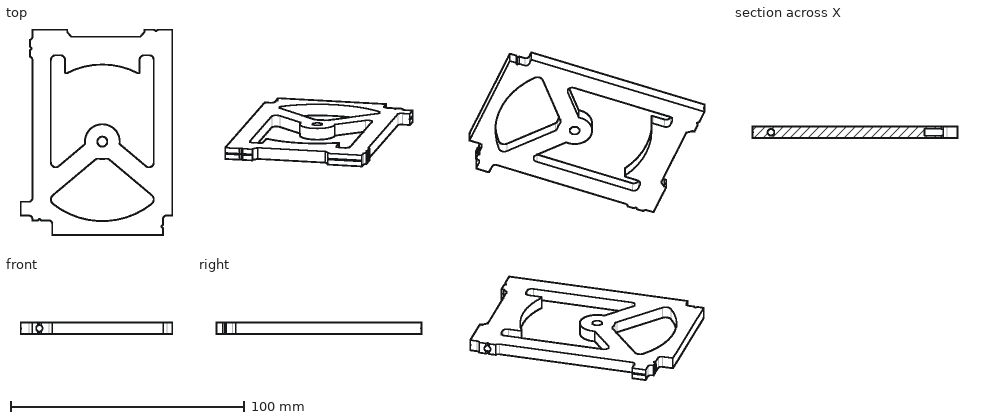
import cadquery as cq
import math

THICKNESS = 5.0
MID_HEIGHT = THICKNESS / 2

BODY_HALF_WIDTH = 30.0
BODY_LEFT = -BODY_HALF_WIDTH
BODY_RIGHT = BODY_HALF_WIDTH
TOP_Y = 48.0
BOTTOM_Y = -40.0
COVE_RADIUS = 1.5

PAD_HEIGHT = 1.0
PAD_Y = 40.0
PAD_HALF_LENGTH = 5.0

TAB_LEFT = -35.0
TAB_TOP = -25.7
TAB_BOTTOM = -31.7
LEFT_SHOULDER_Y = -33.8
RIGHT_SHOULDER_Y = TAB_BOTTOM
BLOCK_LEFT = -21.5
BLOCK_RIGHT = 26.0

NOTCH_LEFT = -15.0
NOTCH_RIGHT = 18.0
NOTCH_DEPTH = 3.0
NOTCH_SLOPE_RISE = 2.0

HUB_RADIUS = 7.5
HUB_HOLE_DIAMETER = 4.2
ARM_ANGLE = math.radians(40)
ARM_HALF_WIDTH = 4.0
NOTCH_SLOPE_RUN = NOTCH_SLOPE_RISE * math.tan(ARM_ANGLE)

WINDOW_HALF_WIDTH = 22.0
WINDOW_TOP = 37.0
WINDOW_FILLET = 2.0
TONGUE_HALF_WIDTH = 16.0
TONGUE_ARC_RADIUS = 33.0
TONGUE_TIP_FILLET = 0.5
SECTOR_RADIUS = 34.0
SECTOR_FILLET = 2.4
SECTOR_HUB_FILLET = 2.0

NICK_DEPTH = 0.75
TOP_NICK_X = 23.0
BOTTOM_NICK_X = -27.0
RIGHT_NICK_Y = -36.4
FINE_GROOVE_DEPTH = 0.25
PIN_HOLE_DIAMETER = 2.8
PIN_HOLE_DEPTH = 8.0


def arm_y(x, offset):
    """Y of a line parallel to the arms, shifted square to them by offset."""
    return offset / math.cos(ARM_ANGLE) - abs(x) * math.tan(ARM_ANGLE)


def arm_underside_at(radius):
    """Point where the lower side of the right arm meets a circle about the hub."""
    along_arm = math.sqrt(radius**2 - ARM_HALF_WIDTH**2)
    x = along_arm * math.cos(ARM_ANGLE) - ARM_HALF_WIDTH * math.sin(ARM_ANGLE)
    return x, arm_y(x, -ARM_HALF_WIDTH)


def plate():
    """Solid plate with the complete outer outline."""
    pad_left = BODY_LEFT - PAD_HEIGHT
    cove_run = math.sqrt(COVE_RADIUS**2 - (COVE_RADIUS - PAD_HEIGHT) ** 2)
    pad_top = PAD_Y + PAD_HALF_LENGTH
    pad_bottom = PAD_Y - PAD_HALF_LENGTH
    notch_floor = TOP_Y - NOTCH_DEPTH
    slope_top = notch_floor + NOTCH_SLOPE_RISE
    return (
        cq.Workplane("XY")
        .moveTo(BODY_LEFT, TOP_Y)
        .lineTo(BODY_LEFT, pad_top)
        .radiusArc((pad_left, pad_top - cove_run), COVE_RADIUS)
        .lineTo(pad_left, pad_bottom + cove_run)
        .radiusArc((BODY_LEFT, pad_bottom), COVE_RADIUS)
        .lineTo(BODY_LEFT, TAB_TOP + COVE_RADIUS)
        .radiusArc((BODY_LEFT - COVE_RADIUS, TAB_TOP), COVE_RADIUS)
        .lineTo(TAB_LEFT, TAB_TOP)
        .lineTo(TAB_LEFT, TAB_BOTTOM)
        .lineTo(BODY_LEFT - COVE_RADIUS, TAB_BOTTOM)
        .radiusArc((BODY_LEFT, TAB_BOTTOM - COVE_RADIUS), COVE_RADIUS)
        .lineTo(BODY_LEFT, LEFT_SHOULDER_Y)
        .lineTo(BLOCK_LEFT - COVE_RADIUS, LEFT_SHOULDER_Y)
        .radiusArc((BLOCK_LEFT, LEFT_SHOULDER_Y - COVE_RADIUS), COVE_RADIUS)
        .lineTo(BLOCK_LEFT, BOTTOM_Y)
        .lineTo(BLOCK_RIGHT, BOTTOM_Y)
        .lineTo(BLOCK_RIGHT, RIGHT_SHOULDER_Y - COVE_RADIUS)
        .radiusArc((BLOCK_RIGHT + COVE_RADIUS, RIGHT_SHOULDER_Y), COVE_RADIUS)
        .lineTo(BODY_RIGHT, RIGHT_SHOULDER_Y)
        .lineTo(BODY_RIGHT, TOP_Y)
        .lineTo(NOTCH_RIGHT, TOP_Y)
        .lineTo(NOTCH_RIGHT, slope_top)
        .lineTo(NOTCH_RIGHT - NOTCH_SLOPE_RUN, notch_floor)
        .lineTo(NOTCH_LEFT + NOTCH_SLOPE_RUN, notch_floor)
        .lineTo(NOTCH_LEFT, slope_top)
        .lineTo(NOTCH_LEFT, TOP_Y)
        .close()
        .extrude(THICKNESS)
    )


def disc(radius):
    """Disc of plate thickness, centred on the hub axis."""
    return cq.Workplane("XY").circle(radius).extrude(THICKNESS)


def window():
    """Upper opening: straight-sided, around the tongue above and the hub below."""
    wall_foot = arm_y(WINDOW_HALF_WIDTH, ARM_HALF_WIDTH)
    tip_y = math.sqrt(TONGUE_ARC_RADIUS**2 - TONGUE_HALF_WIDTH**2)
    opening = (
        cq.Workplane("XY")
        .moveTo(-WINDOW_HALF_WIDTH, WINDOW_TOP)
        .lineTo(-WINDOW_HALF_WIDTH, wall_foot)
        .lineTo(0, arm_y(0, ARM_HALF_WIDTH))
        .lineTo(WINDOW_HALF_WIDTH, wall_foot)
        .lineTo(WINDOW_HALF_WIDTH, WINDOW_TOP)
        .lineTo(TONGUE_HALF_WIDTH, WINDOW_TOP)
        .lineTo(TONGUE_HALF_WIDTH, tip_y)
        .threePointArc((0, TONGUE_ARC_RADIUS), (-TONGUE_HALF_WIDTH, tip_y))
        .lineTo(-TONGUE_HALF_WIDTH, WINDOW_TOP)
        .close()
        .extrude(THICKNESS)
    )
    for side in (-1, 1):
        wall_x = side * WINDOW_HALF_WIDTH
        tongue_x = side * TONGUE_HALF_WIDTH
        opening = fillet_corner(opening, wall_x, wall_foot, WINDOW_FILLET)
        opening = fillet_corner(opening, wall_x, WINDOW_TOP, WINDOW_FILLET)
        opening = fillet_corner(opening, tongue_x, WINDOW_TOP, WINDOW_FILLET)
        opening = fillet_corner(opening, tongue_x, tip_y, TONGUE_TIP_FILLET)
    return opening.cut(disc(HUB_RADIUS))


def sector():
    """Lower opening: below the arms and the hub, closed by an arc about the hub."""
    corner_x, corner_y = arm_underside_at(SECTOR_RADIUS)
    opening = (
        cq.Workplane("XY")
        .moveTo(0, arm_y(0, -ARM_HALF_WIDTH))
        .lineTo(-corner_x, corner_y)
        .threePointArc((0, -SECTOR_RADIUS), (corner_x, corner_y))
        .close()
        .extrude(THICKNESS)
    )
    for side in (-1, 1):
        opening = fillet_corner(opening, side * corner_x, corner_y, SECTOR_FILLET)
    opening = opening.cut(disc(HUB_RADIUS))
    hub_x, hub_y = arm_underside_at(HUB_RADIUS)
    for side in (-1, 1):
        opening = fillet_corner(opening, side * hub_x, hub_y, SECTOR_HUB_FILLET)
    return opening


def fillet_corner(body, x, y, radius):
    """Round the vertical edge nearest to (x, y)."""
    nearest = cq.selectors.NearestToPointSelector((x, y, MID_HEIGHT))
    return body.edges("|Z").edges(nearest).fillet(radius)


def square_bar(length, groove_depth):
    """Bar along Z whose corners point along X and Y, for cutting V grooves."""
    return cq.Workplane("XY").polygon(4, 2 * groove_depth).extrude(length)


def edge_nick(x, y):
    """V groove across the full thickness of an edge."""
    return square_bar(THICKNESS, NICK_DEPTH).translate((x, y, 0))


def tab_groove():
    """Fine V groove along the end of the tab at mid thickness."""
    bar = square_bar(TAB_TOP - TAB_BOTTOM, FINE_GROOVE_DEPTH)
    bar = bar.rotate((0, 0, 0), (1, 0, 0), -90)
    return bar.translate((TAB_LEFT, TAB_BOTTOM, MID_HEIGHT))


def top_groove():
    """Fine V groove along the top side at mid thickness."""
    bar = square_bar(BODY_RIGHT - BODY_LEFT, FINE_GROOVE_DEPTH)
    bar = bar.rotate((0, 0, 0), (0, 1, 0), 90)
    return bar.translate((BODY_LEFT, TOP_Y, MID_HEIGHT))


def pin_hole(x, y, direction):
    """Blind round hole entering an edge at mid thickness."""
    start = cq.Vector(x, y, MID_HEIGHT)
    radius = PIN_HOLE_DIAMETER / 2
    return cq.Workplane(cq.Solid.makeCylinder(radius, PIN_HOLE_DEPTH, start, direction))


result = plate().cut(window()).cut(sector()).cut(disc(HUB_HOLE_DIAMETER / 2))

pad_face = BODY_LEFT - PAD_HEIGHT
nick_positions = [
    (pad_face, PAD_Y),
    (TOP_NICK_X, TOP_Y),
    (BOTTOM_NICK_X, LEFT_SHOULDER_Y),
    (BLOCK_RIGHT, RIGHT_NICK_Y),
]
for nick_x, nick_y in nick_positions:
    result = result.cut(edge_nick(nick_x, nick_y))

result = result.cut(tab_groove()).cut(top_groove())
result = result.cut(pin_hole(pad_face, PAD_Y, cq.Vector(1, 0, 0)))
result = result.cut(pin_hole(BOTTOM_NICK_X, LEFT_SHOULDER_Y, cq.Vector(0, 1, 0)))